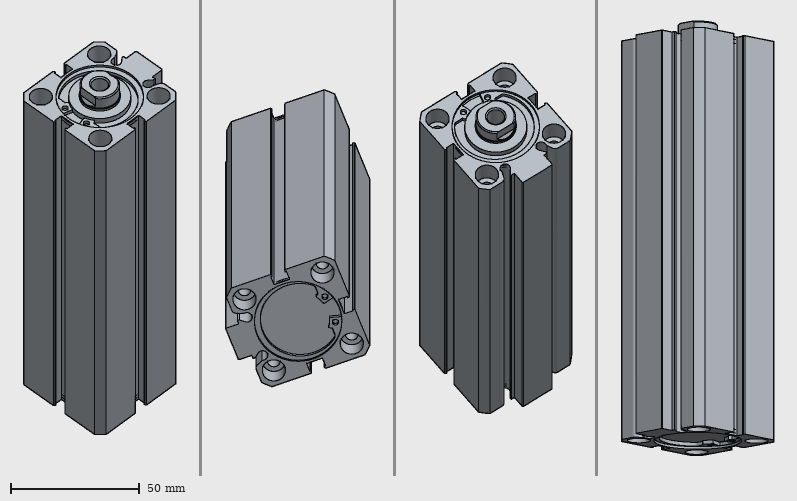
import cadquery as cq
import math


body_width = 45.0
body_length = 158.0
half_width = body_width / 2
corner_radius = 29.65

rail_top_y = 27.5
rail_half_width = 7.2
rail_edge_chamfer = 0.3
rail_lip_top_y = 22.0
rail_lip_bottom_y = 21.2
undercut_x = 8.67
undercut_y = 18.0
undercut_radius = 2.0
groove_mouth_x = 12.3
groove_wall_foot_y = 19.0
groove_mouth_fillet = 1.8

slot_floor = 18.0
slot_width = 6.5
slot_mouth_width = 5.4
slot_lip = 1.0
slot_mouth_chamfer = 0.4

mount_pitch = 32.4
mount_hole_diameter = 5.0
mount_counterbore_diameter = 9.0
mount_counterbore_depth = 9.0

bore_radius = 16.0
recess_radius = 17.0
head_thickness = 12.0
head_boss_radius = 12.1

ring_depth = 1.0
ring_thickness = 1.5
ring_outer_radius = 17.8
ring_inner_radius = 15.5
ring_inner_offset = 0.85
lug_inner_radius = 12.25
lug_gap_angle = 15.0
lug_back_angle = 35.0
lug_shoulder_y = -11.2
lug_root_fillet = 1.5
lug_hole_x = 5.8
lug_hole_y = -13.3
lug_hole_diameter = 2.4

rod_radius = 8.0
rod_projection = 7.0
rod_collar_height = 1.0
rod_neck_radius = 7.7
rod_tip_chamfer = 0.5
flats_width = 13.0
thread_radius = 3.4
thread_mouth_radius = 4.0
thread_depth = 13.0
drill_tip_angle = 118.0

ring_bottom_depth = ring_depth + ring_thickness
recess_depth = ring_bottom_depth + head_thickness


def cylinder(radius, z_from, z_to):
    return cq.Workplane("XY").workplane(offset=z_from).circle(radius).extrude(z_to - z_from)


def mirrored_to_bottom(shape):
    """The mirror image of a top-end shape at the bottom end of the housing."""
    return shape.mirror("XY").translate((0, 0, body_length))




def rail_groove():
    """Cutter for the undercut groove on the +X side of the rail, open to +Y."""
    diagonal = undercut_radius * math.cos(math.radians(45))
    neck = (undercut_x - diagonal, undercut_y + diagonal)
    outer_x = undercut_x + undercut_radius
    bottom = (undercut_x, undercut_y - undercut_radius)
    mouth_corner = (groove_mouth_x, half_width, body_length / 2)
    return (
        cq.Workplane("XY")
        .moveTo(*neck)
        .lineTo(undercut_x, rail_lip_bottom_y)
        .lineTo(undercut_x, rail_lip_top_y)
        .lineTo(rail_half_width, rail_lip_top_y)
        .lineTo(rail_half_width, rail_top_y)
        .lineTo(half_width, rail_top_y)
        .lineTo(half_width, half_width)
        .lineTo(groove_mouth_x, half_width)
        .lineTo(outer_x, groove_wall_foot_y)
        .lineTo(outer_x, undercut_y)
        .threePointArc(bottom, neck)
        .close()
        .extrude(body_length)
        .edges(cq.selectors.NearestToPointSelector(mouth_corner))
        .fillet(groove_mouth_fillet)
    )


def sensor_slot():
    """Cutter for the sensor slot on the +X side."""
    lip_x = half_width - slot_lip
    chamfer_x = half_width - slot_mouth_chamfer
    mouth_y = slot_mouth_width / 2
    upper_side = [
        (half_width, mouth_y + slot_mouth_chamfer),
        (chamfer_x, mouth_y),
        (lip_x, mouth_y),
        (lip_x, slot_width / 2),
        (slot_floor, slot_width / 2),
    ]
    lower_side = [(x, -y) for x, y in reversed(upper_side)]
    return cq.Workplane("XY").polyline(upper_side + lower_side).close().extrude(body_length)


def mounting_hole():
    """Cutter for one mounting hole on the axis, counterbored at both ends."""
    counterbore_radius = mount_counterbore_diameter / 2
    top_counterbore = cylinder(counterbore_radius, body_length - mount_counterbore_depth, body_length)
    hole = cylinder(mount_hole_diameter / 2, 0, body_length)
    return hole.union(top_counterbore).union(mirrored_to_bottom(top_counterbore))


def bore_cavity():
    """Cutter for the cylinder bore with a head recess and ring groove at each end."""
    recess = cylinder(recess_radius, body_length - recess_depth, body_length)
    groove = cylinder(ring_outer_radius, body_length - ring_bottom_depth, body_length - ring_depth)
    end = recess.union(groove)
    return cylinder(bore_radius, 0, body_length).union(end).union(mirrored_to_bottom(end))


def make_housing():
    block = cq.Workplane("XY").rect(body_width, body_width).extrude(body_length)
    body = block.intersect(cylinder(corner_radius, 0, body_length))

    rail = (
        cq.Workplane("XY")
        .box(2 * rail_half_width, rail_top_y, body_length, centered=(True, False, False))
        .edges("|Z and >Y")
        .chamfer(rail_edge_chamfer)
    )
    groove = rail_groove()
    body = body.union(rail).cut(groove).cut(groove.mirror("YZ"))

    for angle in (0, 180, 270):
        body = body.cut(sensor_slot().rotate((0, 0, 0), (0, 0, 1), angle))

    for x in (-mount_pitch / 2, mount_pitch / 2):
        for y in (-mount_pitch / 2, mount_pitch / 2):
            body = body.cut(mounting_hole().translate((x, y, 0)))

    return body.cut(bore_cavity())




def make_front_head():
    """Head at the rod end: a flange under the snap ring and a boss flush with the housing."""
    flange = cylinder(recess_radius, body_length - recess_depth, body_length - ring_bottom_depth)
    boss = cylinder(head_boss_radius, body_length - ring_bottom_depth, body_length)
    rod_hole = cylinder(rod_radius, 0, body_length)
    return flange.union(boss).cut(rod_hole)


def make_rear_head():
    """Plain disc that closes the bottom end."""
    return cylinder(recess_radius, ring_bottom_depth, recess_depth)




def snap_ring_lug_zone():
    """Both lugs and the gap between them, as one sector around the -Y direction."""
    back = math.radians(lug_back_angle)
    back_corner_x = -lug_shoulder_y * math.tan(back)
    inner_x = lug_inner_radius * math.sin(back)
    inner_y = -lug_inner_radius * math.cos(back)
    return (
        cq.Workplane("XY")
        .moveTo(-inner_x, inner_y)
        .threePointArc((0, -lug_inner_radius), (inner_x, inner_y))
        .lineTo(back_corner_x, lug_shoulder_y)
        .lineTo(ring_outer_radius, lug_shoulder_y)
        .lineTo(ring_outer_radius, -ring_outer_radius)
        .lineTo(-ring_outer_radius, -ring_outer_radius)
        .lineTo(-ring_outer_radius, lug_shoulder_y)
        .lineTo(-back_corner_x, lug_shoulder_y)
        .close()
        .extrude(ring_thickness)
    )


def make_top_snap_ring():
    disc = cylinder(ring_outer_radius, 0, ring_thickness)
    opening = cylinder(ring_inner_radius, 0, ring_thickness).translate((0, -ring_inner_offset, 0))
    opening = opening.cut(snap_ring_lug_zone())
    root_x = math.sqrt(ring_inner_radius**2 - (lug_shoulder_y + ring_inner_offset) ** 2)
    for side in (-1, 1):
        root = (side * root_x, lug_shoulder_y, ring_thickness / 2)
        opening = opening.edges(cq.selectors.NearestToPointSelector(root)).fillet(lug_root_fillet)
    ring = disc.cut(opening)

    gap_end_x = ring_outer_radius * math.tan(math.radians(lug_gap_angle))
    gap = (
        cq.Workplane("XY")
        .polyline([(0, 0), (gap_end_x, -ring_outer_radius), (-gap_end_x, -ring_outer_radius)])
        .close()
        .extrude(ring_thickness)
    )
    plier_holes = (
        cq.Workplane("XY")
        .pushPoints([(-lug_hole_x, lug_hole_y), (lug_hole_x, lug_hole_y)])
        .circle(lug_hole_diameter / 2)
        .extrude(ring_thickness)
    )
    return ring.cut(gap).cut(plier_holes).translate((0, 0, body_length - ring_bottom_depth))




def rod_flat():
    """Cutter for the wrench flat on the +Y side, running out at 45 degrees onto the collar."""
    flat_y = flats_width / 2
    collar_z = body_length + rod_collar_height
    tip_z = body_length + rod_projection
    return (
        cq.Workplane("YZ")
        .moveTo(rod_radius, collar_z)
        .lineTo(rod_radius, tip_z)
        .lineTo(flat_y, tip_z)
        .lineTo(flat_y, collar_z + rod_radius - flat_y)
        .close()
        .extrude(rod_radius, both=True)
    )


def make_rod():
    """Rod from the rear head to its tip, with a threaded hole ending in a drill point."""
    tip_z = body_length + rod_projection
    collar_z = body_length + rod_collar_height
    drill_point = thread_radius / math.tan(math.radians(drill_tip_angle / 2))
    thread_bottom_z = tip_z - thread_depth
    profile = (
        cq.Workplane("XZ")
        .moveTo(0, recess_depth)
        .lineTo(rod_radius, recess_depth)
        .lineTo(rod_radius, collar_z)
        .lineTo(rod_neck_radius, collar_z + rod_radius - rod_neck_radius)
        .lineTo(rod_neck_radius, tip_z - rod_tip_chamfer)
        .lineTo(rod_neck_radius - rod_tip_chamfer, tip_z)
        .lineTo(thread_mouth_radius, tip_z)
        .lineTo(thread_radius, tip_z - (thread_mouth_radius - thread_radius))
        .lineTo(thread_radius, thread_bottom_z)
        .lineTo(0, thread_bottom_z - drill_point)
        .close()
    )
    rod = profile.revolve(360, (0, 0, 0), (0, 1, 0))
    flat = rod_flat()
    return rod.cut(flat).cut(flat.mirror("XZ"))



housing = make_housing()
front_head = make_front_head()
rear_head = make_rear_head()
top_snap_ring = make_top_snap_ring()
bottom_snap_ring = mirrored_to_bottom(top_snap_ring)
rod = make_rod()

result = cq.Compound.makeCompound(
    [
        housing.val(),
        front_head.val(),
        rear_head.val(),
        top_snap_ring.val(),
        bottom_snap_ring.val(),
        rod.val(),
    ]
)